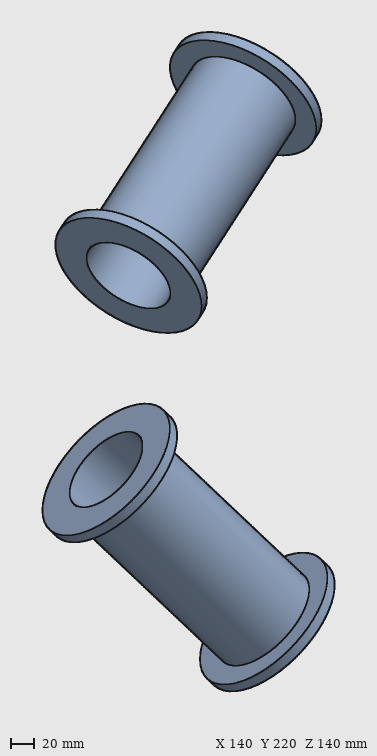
import cadquery as cq

length = 220.0
flange_diameter = 140.0
flange_thickness = 10.0
tube_diameter = 100.0
bore_diameter = 80.0


def cylinder_along_y(diameter, start_y, height):
    """Solid cylinder on the Y axis, growing toward +Y from start_y."""
    return cq.Workplane("XZ").workplane(offset=-start_y).circle(diameter / 2).extrude(-height)


end_y = length / 2

body = cylinder_along_y(tube_diameter, -end_y, length)
for flange_start in (-end_y, end_y - flange_thickness):
    body = body.union(cylinder_along_y(flange_diameter, flange_start, flange_thickness))

result = body.cut(cylinder_along_y(bore_diameter, -end_y, length))